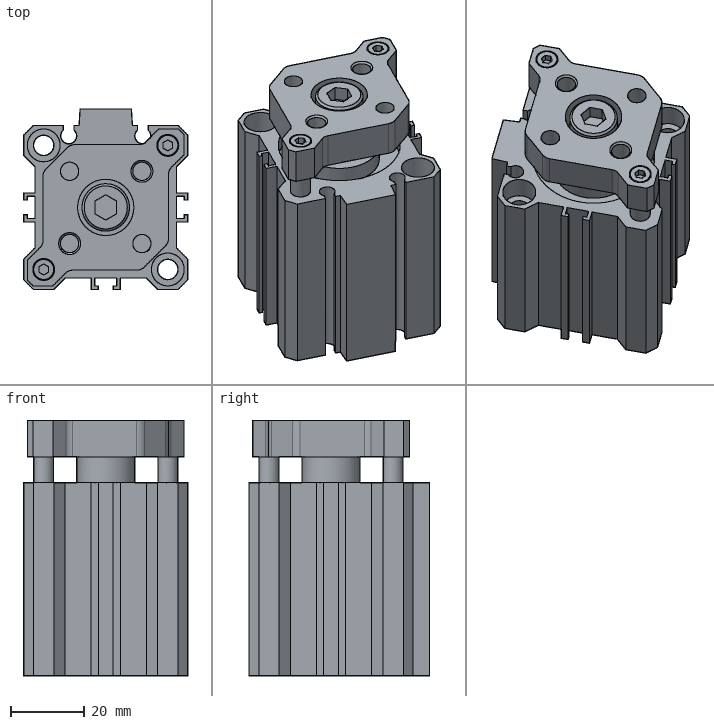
import cadquery as cq
import math

housing_height = 53.0
rod_gap = 7.0
plate_thickness = 10.0
plate_bottom = housing_height + rod_gap
plate_top = plate_bottom + plate_thickness

housing_half = 22.5
wall_half = 19.4
post_inner = 14.2
post_chamfer = 2.7
wall_end = post_inner - (housing_half - wall_half)

corner_spacing = 17.0
mount_hole_diameter = 5.5
mount_counterbore_diameter = 9.0
mount_counterbore_depth = 7.0

rail_outer = 4.0
rail_inner = 3.0
rail_lip = 2.0
rail_lip_thickness = 1.0
rail_embed = 1.0

block_reach = 27.0
block_base_half = 7.35
block_tip_half = 7.05

slot_offset = 10.15
slot_neck_width = 2.9
slot_diameter = 4.3
slot_center_y = 19.6

gland_recess_diameter = 33.4
gland_diameter = 22.0
gland_recess_depth = 4.8

plate_half = 17.2
lug_half = 21.5
lug_inner = 14.5
lug_chamfer = 1.6
lug_root = lug_inner - (lug_half - plate_half)
cut_corner = 9.7
cut_corner_radius = 3.0
lug_root_radius = 2.5

piston_rod_diameter = 16.0
guide_rod_diameter = 5.5

plate_hole_spacing = 9.9
plate_hole_diameter = 5.0
countersink_diameter = 6.0

center_bore_diameter = 15.4
center_head_diameter = 13.0
center_head_height = 8.0
center_head_chamfer = 0.6
center_hex_flats = 6.0
center_hex_depth = 4.0

lug_bore_diameter = 6.0
lug_head_diameter = 5.5
lug_head_height = 3.0
lug_hex_flats = 2.6
lug_hex_depth = 2.0

rod_corners = [(corner_spacing, corner_spacing), (-corner_spacing, -corner_spacing)]
mount_corners = [(-corner_spacing, corner_spacing), (corner_spacing, -corner_spacing)]


def cylinder(diameter, bottom, top, points=((0, 0),)):
    """Upright cylinders between two heights, one at each point."""
    base = cq.Workplane("XY").workplane(offset=bottom)
    return base.pushPoints(list(points)).circle(diameter / 2).extrude(top - bottom)


def rail_pair():
    """Two facing hooked rails on the -Y wall."""
    rails = cq.Workplane("XY")
    for side in (-1, 1):
        outline = [
            (side * rail_outer, -wall_half + rail_embed),
            (side * rail_outer, -housing_half),
            (side * rail_lip, -housing_half),
            (side * rail_lip, -housing_half + rail_lip_thickness),
            (side * rail_inner, -housing_half + rail_lip_thickness),
            (side * rail_inner, -wall_half + rail_embed),
        ]
        rails = rails.add(cq.Workplane("XY").polyline(outline).close().extrude(housing_height))
    return rails.combine()


def housing_profile():
    """Square extrusion with chamfered corner posts and recessed side walls."""
    quarter = [
        (wall_half, wall_end),
        (housing_half, post_inner),
        (housing_half, housing_half - post_chamfer),
        (housing_half - post_chamfer, housing_half),
        (post_inner, housing_half),
        (wall_end, wall_half),
    ]
    outline = []
    for turn in range(4):
        for x, y in quarter:
            for _ in range(turn):
                x, y = -y, x
            outline.append((x, y))
    return cq.Workplane("XY").polyline(outline).close().extrude(housing_height)


def build_housing():
    body = housing_profile()

    for angle in (0, 90, -90):
        body = body.union(rail_pair().rotate((0, 0, 0), (0, 0, 1), angle))

    fill = cq.Workplane("XY").rect(2 * post_inner, 2 * (housing_half - wall_half)).extrude(housing_height)
    body = body.union(fill.translate((0, wall_half, 0)))
    block = [
        (-block_base_half, wall_half),
        (-block_base_half, housing_half),
        (-block_tip_half, block_reach),
        (block_tip_half, block_reach),
        (block_base_half, housing_half),
        (block_base_half, wall_half),
    ]
    body = body.union(cq.Workplane("XY").polyline(block).close().extrude(housing_height))

    neck_length = block_reach - slot_center_y
    for side in (-1, 1):
        slot_x = side * slot_offset
        neck = cq.Workplane("XY").rect(slot_neck_width, neck_length).extrude(housing_height)
        body = body.cut(neck.translate((slot_x, slot_center_y + neck_length / 2, 0)))
        body = body.cut(cylinder(slot_diameter, 0, housing_height, [(slot_x, slot_center_y)]))

    recess_floor = housing_height - gland_recess_depth
    recess = cylinder(gland_recess_diameter, recess_floor, housing_height)
    body = body.cut(recess.cut(cylinder(gland_diameter, recess_floor, housing_height)))

    body = body.cut(cylinder(mount_hole_diameter, 0, housing_height, mount_corners))
    counterbore_floor = housing_height - mount_counterbore_depth
    return body.cut(cylinder(mount_counterbore_diameter, counterbore_floor, housing_height, mount_corners))


def fillet_corners(plate, corners, radius):
    """Round the upright edges at the given corners and at their opposites through the center."""
    middle = plate_bottom + plate_thickness / 2
    edges = cq.Workplane("XY")
    for x, y in corners + [(-x, -y) for x, y in corners]:
        edges = edges.add(plate.edges(cq.selectors.NearestToPointSelector((x, y, middle))))
    return plate.newObject(edges.vals()).fillet(radius)


def plate_profile():
    """Square plate with two diagonal lugs and the other two corners cut off."""
    half = [
        (plate_half, -cut_corner),
        (plate_half, lug_root),
        (lug_half, lug_inner),
        (lug_half, lug_half - lug_chamfer),
        (lug_half - lug_chamfer, lug_half),
        (lug_inner, lug_half),
        (lug_root, plate_half),
        (-cut_corner, plate_half),
    ]
    outline = half + [(-x, -y) for x, y in half]
    base = cq.Workplane("XY").workplane(offset=plate_bottom)
    plate = base.polyline(outline).close().extrude(plate_thickness)

    plate = fillet_corners(plate, [half[0], half[-1]], cut_corner_radius)
    return fillet_corners(plate, [half[1], half[-2]], lug_root_radius)


def socket_screw_head(diameter, height, hex_flats, hex_depth, chamfer=0):
    """Cylindrical head flush with the plate top, with a hexagonal socket."""
    head = cylinder(diameter, plate_top - height, plate_top)
    if chamfer:
        head = head.faces(">Z").edges().chamfer(chamfer)
    hexagon_diameter = hex_flats / math.cos(math.pi / 6)
    socket = cq.Workplane("XY").workplane(offset=plate_top - hex_depth)
    socket = socket.polygon(6, hexagon_diameter).extrude(hex_depth)
    return head.cut(socket.rotate((0, 0, 0), (0, 0, 1), 90))


def build_moving_plate():
    body = plate_profile()

    countersink_depth = (countersink_diameter - plate_hole_diameter) / 2
    for x in (-plate_hole_spacing, plate_hole_spacing):
        for y in (-plate_hole_spacing, plate_hole_spacing):
            body = body.cut(cylinder(plate_hole_diameter, plate_bottom, plate_top, [(x, y)]))
            if x == y:
                countersink = cq.Solid.makeCone(
                    plate_hole_diameter / 2,
                    countersink_diameter / 2,
                    countersink_depth,
                    pnt=cq.Vector(x, y, plate_top - countersink_depth),
                )
                body = body.cut(cq.Workplane(countersink))

    body = body.cut(cylinder(center_bore_diameter, plate_top - center_head_height, plate_top))
    body = body.union(socket_screw_head(
        center_head_diameter, center_head_height, center_hex_flats, center_hex_depth, center_head_chamfer))

    body = body.cut(cylinder(lug_bore_diameter, plate_top - lug_head_height, plate_top, rod_corners))
    lug_head = socket_screw_head(lug_head_diameter, lug_head_height, lug_hex_flats, lug_hex_depth)
    for x, y in rod_corners:
        body = body.union(lug_head.translate((x, y, 0)))

    body = body.union(cylinder(piston_rod_diameter, housing_height, plate_bottom))
    return body.union(cylinder(guide_rod_diameter, housing_height, plate_bottom, rod_corners))


housing = build_housing()
moving_plate = build_moving_plate()

result = cq.Compound.makeCompound([housing.val(), moving_plate.val()])